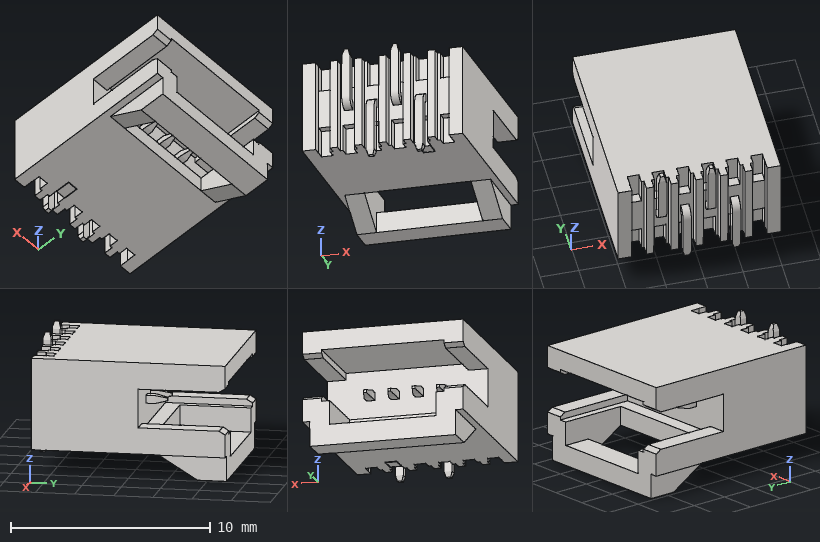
import cadquery as cq

width = 8.41
length = 9.91
height = 4.72
half_height = height / 2

slot_height = 1.99
slot_depth = 4.45
slot_end = length - slot_depth
lead_in_run = 0.31
lead_in_rise = 0.19

side_wall = 1.0
cavity_width = width - 2 * side_wall
cavity_height = 2.69

leg_inset = 0.39
leg_width = 1.03
leg_drop = 1.3
leg_top_length = 3.63
leg_bottom_length = 1.49
bar_gap = 0.23
latch_width = width - 2 * leg_inset
latch_opening = latch_width - 2 * leg_width

pitch = 1.27
position_count = 6
groove_width = 0.89
groove_depth = 0.51
groove_span = 6.98
recess_width = 0.6
recess_depth = 1.01
recess_height = 1.36

contact_width = 0.43
contact_thickness = 0.41
contact_front = -0.04
bend_radius = 0.64
tail_overhang = 0.59
tail_tip_length = 0.27
tail_tip_size = 0.25
up_tail_flank_length = 0.4
up_tail_tip_width = 0.2
contact_rise = 0.22
contact_end = slot_end + 1.07
contact_tip_length = 0.61
contact_tip_size = 0.15

mark_width = 0.6
mark_start = 1.01
mark_length = 0.84
mark_height = 0.04


def block(x_range, y_range, z_range):
    """Box spanning the given ranges."""
    x0, x1 = x_range
    y0, y1 = y_range
    z0, z1 = z_range
    return cq.Workplane("XY").box(x1 - x0, y1 - y0, z1 - z0, centered=False).translate((x0, y0, z0))


def side_extrusion(points, x_start, x_size):
    """Closed (y, z) outline extruded along +X from x_start."""
    return cq.Workplane("YZ").workplane(offset=x_start).polyline(points).close().extrude(x_size)


def make_housing():
    """Block with the side slot and the cavity, both open at the mating end."""
    body = block((-width / 2, width / 2), (0, length), (-half_height, half_height))
    half_slot = slot_height / 2
    half_mouth = half_slot + lead_in_rise
    slot = side_extrusion(
        [
            (slot_end, -half_slot),
            (length - lead_in_run, -half_slot),
            (length, -half_mouth),
            (length, half_mouth),
            (length - lead_in_run, half_slot),
            (slot_end, half_slot),
        ],
        -width / 2,
        width,
    )
    cavity = block(
        (-cavity_width / 2, cavity_width / 2),
        (slot_end, length),
        (-cavity_height / 2, cavity_height / 2),
    )
    floor_opening = block(
        (-latch_opening / 2, latch_opening / 2),
        (length - leg_top_length, length),
        (-half_height, 0),
    )
    return body.cut(slot).cut(cavity).cut(floor_opening)


def make_latch():
    """Two legs with a sloped rear side and the bar between their lower ends."""
    bottom = -half_height - leg_drop
    profile = [
        (length, -half_height),
        (length, bottom),
        (length - leg_bottom_length, bottom),
        (length - leg_top_length, -half_height),
    ]
    left_leg = side_extrusion(profile, -latch_width / 2, leg_width)
    right_leg = left_leg.mirror("YZ")
    bar = block(
        (-latch_opening / 2, latch_opening / 2),
        (length - leg_bottom_length, length),
        (bottom, -half_height - bar_gap),
    )
    return left_leg.union(bar).union(right_leg)


def terminal_pocket(x, pocket_width, depth, z_range):
    """Pocket in the terminal face, trimmed where it would enter an end wall."""
    x0 = max(x - pocket_width / 2, -groove_span / 2)
    x1 = min(x + pocket_width / 2, groove_span / 2)
    return block((x0, x1), (0, depth), z_range)


def tapered_outline(plane, centre, size, tip_size, tip_length, start, end):
    """Outline of a tail from Z = start to end, narrowing to tip_size over tip_length."""
    return (
        cq.Workplane(plane)
        .moveTo(centre - size / 2, start)
        .lineTo(centre - size / 2, end - tip_length)
        .lineTo(centre - tip_size / 2, end)
        .lineTo(centre + tip_size / 2, end)
        .lineTo(centre + size / 2, end - tip_length)
        .lineTo(centre + size / 2, start)
        .close()
    )


def make_contact(flank_length, tip_width):
    """Right-angle contact at X = 0 with its tail pointing up.

    The tail tip narrows along X to tip_width over flank_length.
    """
    low = -contact_rise
    high = low + contact_thickness
    bend_y = contact_front + bend_radius
    bend_z = low + bend_radius
    inner_radius = bend_radius - contact_thickness
    tail_back = contact_front + contact_thickness
    tail_centre = contact_front + contact_thickness / 2
    tail_start = half_height / 2
    tail_end = half_height + tail_overhang
    tip_start = contact_end - contact_tip_length

    bent_bar = (
        cq.Workplane("YZ")
        .moveTo(tip_start, low)
        .lineTo(bend_y, low)
        .radiusArc((contact_front, bend_z), bend_radius)
        .lineTo(contact_front, tail_start)
        .lineTo(tail_back, tail_start)
        .lineTo(tail_back, bend_z)
        .radiusArc((bend_y, high), -inner_radius)
        .lineTo(tip_start, high)
        .close()
        .extrude(contact_width / 2, both=True)
    )
    side_outline = tapered_outline(
        "YZ", tail_centre, contact_thickness, tail_tip_size, tail_tip_length, tail_start, tail_end
    )
    face_outline = tapered_outline(
        "XZ", 0, contact_width, tip_width, flank_length, tail_start, tail_end
    )
    tail = side_outline.extrude(contact_width / 2, both=True)
    tail = tail.intersect(face_outline.extrude(bend_radius, both=True))
    mating_tip = (
        cq.Workplane("XZ", origin=(0, tip_start, (low + high) / 2))
        .rect(contact_width, contact_thickness)
        .workplane(offset=-contact_tip_length)
        .rect(contact_tip_size, contact_tip_size)
        .loft(ruled=True)
    )
    return bent_bar.union(tail).union(mating_tip)


positions = [(i - (position_count - 1) / 2) * pitch for i in range(position_count)]

result = make_housing().union(make_latch())

for x in positions:
    result = result.cut(terminal_pocket(x, groove_width, groove_depth, (-half_height, half_height)))
    for z_range in (
        (-half_height, recess_height - half_height),
        (half_height - recess_height, half_height),
    ):
        result = result.cut(terminal_pocket(x, recess_width, recess_depth, z_range))

up_contact = make_contact(up_tail_flank_length, up_tail_tip_width)
down_contact = make_contact(tail_tip_length, tail_tip_size).mirror("XY")

for index, x in enumerate(positions[1:-1]):
    contact = up_contact if index % 2 == 0 else down_contact
    result = result.union(contact.translate((x, 0, 0)))

mark_x = positions[-2]
mark = block(
    (mark_x - mark_width / 2, mark_x + mark_width / 2),
    (mark_start, mark_start + mark_length),
    (-half_height - mark_height, -half_height),
)
result = result.union(mark)